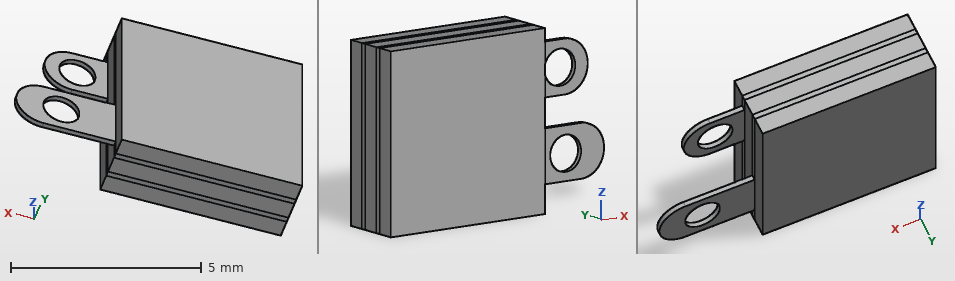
import cadquery as cq

side = 5.0
stack_depth = 1.8
sheet_thickness = 0.15
block_count = 3
sheet_count = block_count - 1
block_thickness = (stack_depth - sheet_count * sheet_thickness) / block_count
layer_pitch = block_thickness + sheet_thickness

overall_length = 7.75
long_tab_reach = overall_length - side
short_tab_reach = 1.75
tab_width = 1.5
tab_edge_margin = 0.495
hole_diameter = 1.0
short_tab_hole_offset = 0.845
long_tab_hole_offset = 1.5

lower_tab_z = tab_edge_margin + tab_width / 2
upper_tab_z = side - lower_tab_z


def square_layer(front_y, thickness):
    """Square plate whose -Y face lies at front_y."""
    return cq.Workplane("XY").box(side, thickness, side, centered=False).translate((0, front_y, 0))


def make_block(front_y):
    return square_layer(front_y, block_thickness)


def make_electrode(front_y, tab_z, tab_reach, hole_offset):
    """Square sheet with a round-ended tab and a hole through the tab."""
    radius = tab_width / 2
    arc_start_x = side + tab_reach - radius
    plane = cq.Workplane("XZ", origin=(0, front_y, 0))
    tab = (
        plane.moveTo(side, tab_z - radius)
        .lineTo(arc_start_x, tab_z - radius)
        .threePointArc((side + tab_reach, tab_z), (arc_start_x, tab_z + radius))
        .lineTo(side, tab_z + radius)
        .close()
        .extrude(-sheet_thickness)
    )
    hole = (
        plane.center(side + hole_offset, tab_z)
        .circle(hole_diameter / 2)
        .extrude(-sheet_thickness)
    )
    return square_layer(front_y, sheet_thickness).union(tab).cut(hole)


blocks = [make_block(index * layer_pitch) for index in range(block_count)]

front_electrode_y = block_thickness
rear_electrode_y = front_electrode_y + layer_pitch
electrodes = [
    make_electrode(front_electrode_y, upper_tab_z, short_tab_reach, short_tab_hole_offset),
    make_electrode(rear_electrode_y, lower_tab_z, long_tab_reach, long_tab_hole_offset),
]

result = cq.Compound.makeCompound([body.val() for body in blocks + electrodes])